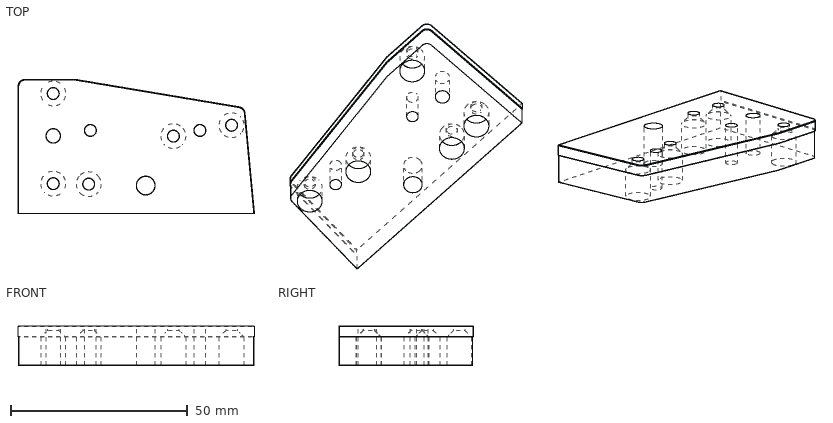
import cadquery as cq

length = 66.95
width = 38.0
height = 11.2

cap_height = 3.2
skirt_height = height - cap_height
skirt_inset = 0.2
top_chamfer = 0.2

back_bend_x = 16.2
right_corner_x = 64.15
right_corner_y = 30.0
right_side_slope = (length - right_corner_x) / right_corner_y
corner_radius = 2.0

small_hole_diameter = 3.3
small_holes = [(20.5, 23.6), (51.5, 23.6)]
medium_hole_diameter = 4.0
medium_hole = (10.0, 22.0)
large_hole_diameter = 5.2
large_hole = (36.15, 8.0)

screw_holes = [(10.0, 34.0), (10.0, 8.5), (20.0, 8.4), (44.0, 21.95), (60.45, 25.05)]
neck_depth = 1.35
head_diameter = 7.0
cone_height = (head_diameter - small_hole_diameter) / 2
head_recess_depth = height - neck_depth - cone_height


def outline_prism(prism_height, front_y=0.0):
    """Prism on the plate outline, its front side at front_y and its two back corners rounded."""
    front_right_x = length - right_side_slope * front_y
    corners = [
        (0, front_y),
        (front_right_x, front_y),
        (right_corner_x, right_corner_y),
        (back_bend_x, width),
        (0, width),
    ]
    prism = cq.Workplane("XY").polyline(corners).close().extrude(prism_height)
    for x, y in [(right_corner_x, right_corner_y), (0, width)]:
        edge = cq.selectors.NearestToPointSelector((x, y, prism_height / 2))
        prism = prism.edges(edge).fillet(corner_radius)
    return prism


def make_cap():
    """Top slab, chamfered above and bevelled below down to the skirt, except along the front."""
    cap = outline_prism(cap_height)
    cap = cap.faces(">Z").edges("not <Y").chamfer(top_chamfer)
    cap = cap.faces("<Z").edges("not <Y").chamfer(skirt_inset)
    return cap.translate((0, 0, skirt_height))


def make_skirt():
    """Lower body: the outline lengthened at the front, then set in so its front is flush with the cap."""
    base = outline_prism(skirt_height, front_y=-skirt_inset).faces("<Z").wires().val()
    return cq.Workplane("XY").add(base).toPending().offset2D(-skirt_inset).extrude(skirt_height)


def drill(points, diameter, depth):
    """Vertical cylinders rising from the underside."""
    return cq.Workplane("XY").pushPoints(points).circle(diameter / 2).extrude(depth)


def head_cones():
    """Countersinks that narrow upward from the head recesses to the screw hole necks."""
    cone = cq.Solid.makeCone(head_diameter / 2, small_hole_diameter / 2, cone_height)
    return (
        cq.Workplane("XY", origin=(0, 0, head_recess_depth))
        .pushPoints(screw_holes)
        .eachpoint(lambda place: cone.moved(place), combine=False)
    )


result = make_cap().union(make_skirt())
result = result.cut(drill(small_holes + screw_holes, small_hole_diameter, height))
result = result.cut(drill([medium_hole], medium_hole_diameter, height))
result = result.cut(drill([large_hole], large_hole_diameter, height))
result = result.cut(head_cones())
result = result.cut(drill(screw_holes, head_diameter, head_recess_depth))